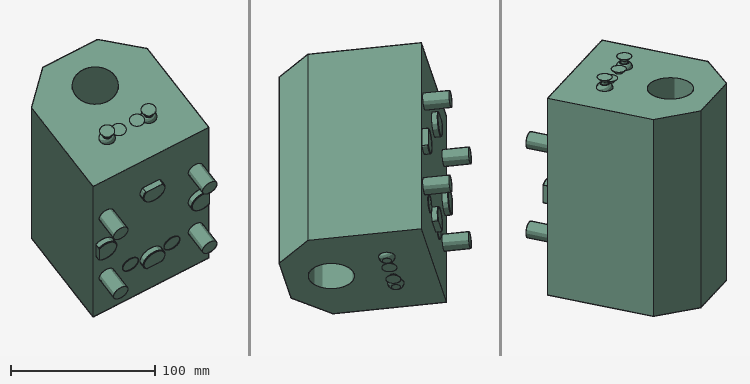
import cadquery as cq
import math

BLOCK_LENGTH = 105.0
BLOCK_WIDTH = 95.0
BLOCK_HEIGHT = 154.0
BEVEL = 25.0
BORE_DIAMETER = 32.0
BORE_X = 32.7

SCREW_ROW_X = 75.0
OUTER_SCREW_Y = 17.0
INNER_SCREW_Y = 7.5
DOME_BASE_RADIUS = 5.75
DOME_TOP_RADIUS = 3.2
DOME_HEIGHT = 3.3
CONE_LARGE_RADIUS = 5.25
CONE_SMALL_RADIUS = 2.5
CONE_HEIGHT = 2.8
STUD_HEIGHT = 8.25
INNER_SCREW_FOOT = 0.1

MOUNT_CENTRE_Z = 0.25
PIN_DIAMETER = 12.0
PIN_LENGTH = 18.5
PIN_Y = 36.5
PIN_Z = 35.0
BOSS_DIAMETER = 18.0
BOSS_LENGTH = 4.5
BOSS_CIRCLE_RADIUS = 39.5
BOSS_FLAT_DISTANCE = 5.75
BOSS_CHAMFER = 0.5
BOSS_COUNT = 4
DISC_DIAMETER = 13.0
DISC_THICKNESS = 0.5
DISC_Y = 17.0
DISC_Z = -37.0

HALF_HEIGHT = BLOCK_HEIGHT / 2


def make_block():
    """Bevelled block centred on Y and Z, with its -X face at X = 0."""
    block = cq.Workplane("XY").box(
        BLOCK_LENGTH, BLOCK_WIDTH, BLOCK_HEIGHT, centered=(False, True, True)
    )
    block = block.faces("<X").edges("|Z").chamfer(BEVEL)
    bore = (
        cq.Workplane("XY", origin=(BORE_X, 0, -HALF_HEIGHT))
        .circle(BORE_DIAMETER / 2)
        .extrude(BLOCK_HEIGHT)
    )
    return block.cut(bore)


def make_dome():
    """Flat-topped round screw head standing on Z = 0."""
    mid_angle = math.acos(DOME_TOP_RADIUS / DOME_BASE_RADIUS) / 2
    ellipse_height = DOME_HEIGHT / math.sin(2 * mid_angle)
    mid_point = (DOME_BASE_RADIUS * math.cos(mid_angle), ellipse_height * math.sin(mid_angle))
    return (
        cq.Workplane("XZ")
        .lineTo(DOME_BASE_RADIUS, 0)
        .threePointArc(mid_point, (DOME_TOP_RADIUS, DOME_HEIGHT))
        .lineTo(0, DOME_HEIGHT)
        .close()
        .revolve(360, (0, 0), (0, 1))
    )


def make_cone(foot_length):
    """Countersunk screw head, wide end up, on a round foot that starts at Z = 0."""
    return (
        cq.Workplane("XZ")
        .lineTo(CONE_SMALL_RADIUS, 0)
        .lineTo(CONE_SMALL_RADIUS, foot_length)
        .lineTo(CONE_LARGE_RADIUS, foot_length + CONE_HEIGHT)
        .lineTo(0, foot_length + CONE_HEIGHT)
        .close()
        .revolve(360, (0, 0), (0, 1))
    )


def add_screws(body):
    """Add the mirrored screw pairs on the top and bottom faces."""
    dome = make_dome()
    stud = dome.union(make_cone(STUD_HEIGHT - CONE_HEIGHT))
    inner_cone = make_cone(INNER_SCREW_FOOT)
    bottom_dome = dome.mirror("XY")
    bottom_cone = inner_cone.mirror("XY")
    for side in (-1, 1):
        outer_y = side * OUTER_SCREW_Y
        inner_y = side * INNER_SCREW_Y
        body = body.union(stud.translate((SCREW_ROW_X, outer_y, HALF_HEIGHT)))
        body = body.union(inner_cone.translate((SCREW_ROW_X, inner_y, HALF_HEIGHT)))
        body = body.union(bottom_dome.translate((SCREW_ROW_X, outer_y, -HALF_HEIGHT)))
        body = body.union(bottom_cone.translate((SCREW_ROW_X, inner_y, -HALF_HEIGHT)))
    return body


def mounting_face():
    """Workplane at the mounting pattern centre on the +X face, with local x along Y and local y along Z."""
    return cq.Workplane("YZ", origin=(BLOCK_LENGTH, 0, MOUNT_CENTRE_Z))


def make_pins():
    """Four dowel pins at the corners of a rectangle."""
    return (
        mounting_face()
        .rect(2 * PIN_Y, 2 * PIN_Z, forConstruction=True)
        .vertices()
        .circle(PIN_DIAMETER / 2)
        .extrude(PIN_LENGTH)
    )


def make_boss():
    """Boss at the +Z position, chamfered at its end and cut flat on its outward side."""
    boss = (
        mounting_face()
        .center(0, BOSS_CIRCLE_RADIUS)
        .circle(BOSS_DIAMETER / 2)
        .extrude(BOSS_LENGTH)
        .faces(">X")
        .chamfer(BOSS_CHAMFER)
    )
    outside_flat = (
        mounting_face()
        .center(0, BOSS_CIRCLE_RADIUS + BOSS_FLAT_DISTANCE + BOSS_DIAMETER / 2)
        .rect(BOSS_DIAMETER, BOSS_DIAMETER)
        .extrude(BOSS_LENGTH)
    )
    return boss.cut(outside_flat)


def make_discs():
    """Pair of thin sealing discs."""
    return (
        mounting_face()
        .pushPoints([(-DISC_Y, DISC_Z), (DISC_Y, DISC_Z)])
        .circle(DISC_DIAMETER / 2)
        .extrude(DISC_THICKNESS)
    )


def add_mounting_features(body):
    """Add everything that stands on the +X face."""
    body = body.union(make_pins()).union(make_discs())
    boss = make_boss()
    pattern_centre = (0, 0, MOUNT_CENTRE_Z)
    axis_end = (BLOCK_LENGTH, 0, MOUNT_CENTRE_Z)
    for index in range(BOSS_COUNT):
        turn = index * 360 / BOSS_COUNT
        body = body.union(boss.rotate(pattern_centre, axis_end, turn))
    return body


result = add_mounting_features(add_screws(make_block()))